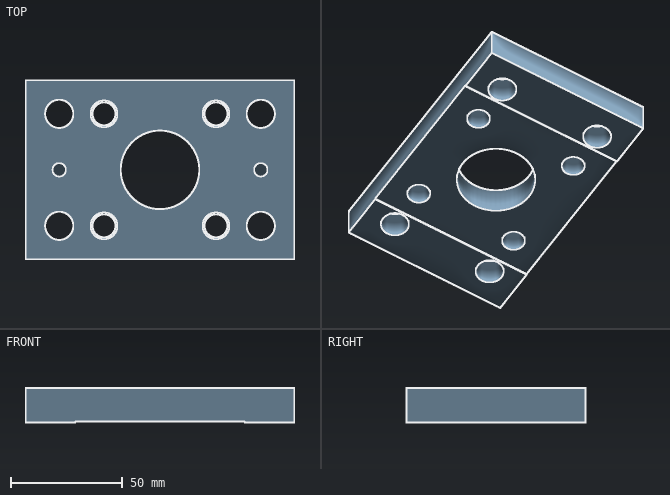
import cadquery as cq

PLATE_LENGTH = 120.0
PLATE_WIDTH = 80.0
PLATE_HEIGHT = 15.5

RELIEF_LENGTH = 75.5
RELIEF_DEPTH = 0.5

OUTER_X = 45.0
INNER_X = 25.0
ROW_Y = 25.0

BORE_DIAMETER = 35.0
BOLT_DIAMETER = 12.5
TAP_DIAMETER = 10.2
TAP_MOUTH_DIAMETER = 12.0
CHAMFER_ANGLE = 45.0
DOWEL_DIAMETER = 6.0
DOWEL_DEPTH = 10.0


def mirrored_corners(x, y):
    """The four points at (+-x, +-y)."""
    return [(sx * x, sy * y) for sx in (-1, 1) for sy in (-1, 1)]


def make_plate():
    """Rectangular plate with its underside on Z = 0, relieved in the middle."""
    plate = cq.Workplane("XY").box(PLATE_LENGTH, PLATE_WIDTH, PLATE_HEIGHT, centered=(True, True, False))
    relief = cq.Workplane("XY").box(RELIEF_LENGTH, PLATE_WIDTH, RELIEF_DEPTH, centered=(True, True, False))
    return plate.cut(relief)


def drill(plate, points, diameter, depth=None):
    """Flat-bottomed holes from the top face; through holes when no depth is given."""
    return plate.faces(">Z").workplane(origin=(0, 0, PLATE_HEIGHT)).pushPoints(points).hole(diameter, depth)


def drill_chamfered(plate, points):
    """Through holes with a chamfer as deep as it is wide at the top mouth."""
    chamfer = (TAP_MOUTH_DIAMETER - TAP_DIAMETER) / 2
    plate = drill(plate, points, TAP_DIAMETER)
    mouths = (
        cq.Workplane("XY", origin=(0, 0, PLATE_HEIGHT))
        .pushPoints(points)
        .circle(TAP_MOUTH_DIAMETER / 2)
        .extrude(-chamfer, taper=CHAMFER_ANGLE)
    )
    return plate.cut(mouths)


result = make_plate()
result = drill(result, [(0, 0)], BORE_DIAMETER)
result = drill(result, mirrored_corners(OUTER_X, ROW_Y), BOLT_DIAMETER)
result = drill_chamfered(result, mirrored_corners(INNER_X, ROW_Y))
result = drill(result, [(-OUTER_X, 0), (OUTER_X, 0)], DOWEL_DIAMETER, DOWEL_DEPTH)